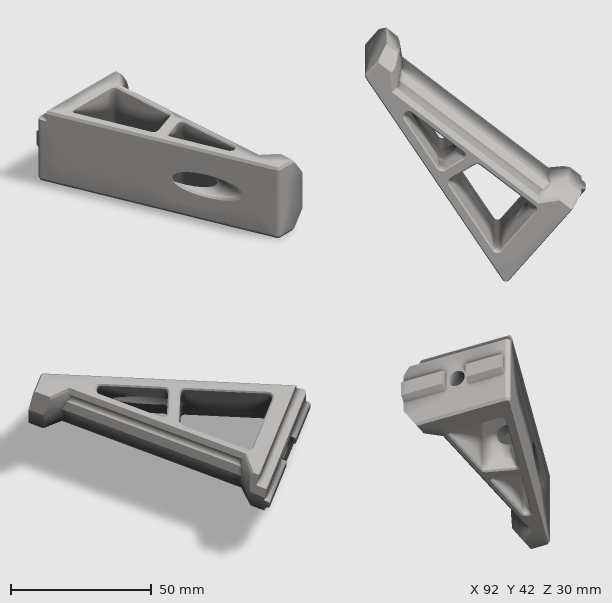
import cadquery as cq
import math

length = 92.0
depth = 41.95
height = 30.0
mid_height = height / 2
margin = 9.2

tab_projection = 2.0
body_left = tab_projection
slope_angle = 18.5
slope = math.tan(math.radians(slope_angle))
corner_radius = 1.5
rim_chamfer_inset = 0.55
rim_chamfer_height = 1.1

back_slope_depth = 5.0
back_slope_height = 7.45
back_slope_ratio = back_slope_height / back_slope_depth

step_right = 5.9
step_level = 25.85

window_left = 12.0
window_back = 29.35
front_wall = 3.8
rib_thickness = 4.4
rib_back_x = 41.9
window_radius = 1.6
window_chamfer = 0.55

tab_spans = [(1.9, 16.2), (25.3, depth)]
tab_bottom = 11.0
tab_top = 19.1
tab_top_chamfer = 0.6

hole_y = 20.7
screw_diameter = 6.3
access_diameter = 8.5
access_chamfer = 0.55

recess_mid_x = 46.9
recess_floor = 37.2
recess_rim_y = 31.3
recess_bend_y = 33.1
recess_bend_drop = 2.1
recess_straight_half = 33.3
end_half_rim = 43.4
end_flare_rim = 0.9
end_half_crest = 38.6
end_flare_crest = 1.1
end_chamfer_length = 1.1
end_chamfer_height = 0.8

groove_diameter = 4.3
groove_y = 35.05
groove_z = 27.3


corner_half_angle = math.radians(90 - slope_angle) / 2
sharp_corner_y = corner_radius - corner_radius / math.tan(corner_half_angle)


def front_y(x):
    """Y of the sloping front face."""
    return sharp_corner_y + slope * (x - body_left)


def prism(points, bottom, top):
    """Upright prism over an XY polygon."""
    return cq.Workplane("XY").workplane(offset=bottom).polyline(points).close().extrude(top - bottom)


def bar_along_x(points, start, end):
    """Bar along X with a YZ polygon as its section."""
    return cq.Workplane("YZ").workplane(offset=start).polyline(points).close().extrude(end - start)


def rod_along_x(diameter, y, z, start, end):
    """Round rod along X."""
    return cq.Workplane("YZ").workplane(offset=start).center(y, z).circle(diameter / 2).extrude(end - start)


def mirror_height(shape):
    return shape.mirror("XY", (0, 0, mid_height))


def mirror_recess(shape):
    return shape.mirror("YZ", (recess_mid_x, 0, 0))


def body_slab():
    """Rounded trapezoid with chamfered rims, left overlong at the back."""
    back = depth + margin
    points = [(body_left, sharp_corner_y), (length, front_y(length)), (length, back), (body_left, back)]
    core_top = height - rim_chamfer_height
    core = prism(points, rim_chamfer_height, core_top).edges("|Z and (<Y or (>X and (not >Y)))")
    core = core.fillet(corner_radius)
    taper = math.degrees(math.atan(rim_chamfer_inset / rim_chamfer_height))
    rim = core.faces(">Z").wires().toPending().workplane(origin=(0, 0, core_top))
    rim = rim.extrude(rim_chamfer_height, taper=taper, combine=False)
    return core.union(rim).union(mirror_height(rim))


def window(points):
    """Window cutter with rounded corners."""
    return prism(points, 0, height).edges("|Z").fillet(window_radius)


def windows():
    """Two windows on either side of a rib square to the sloping front."""
    wall_y = front_wall / math.cos(math.radians(slope_angle))
    rib_half_x = rib_thickness / 2 / math.cos(math.radians(slope_angle))

    def inner_y(x):
        return front_y(x) + wall_y

    def rib_side(back_x):
        """Both ends of a rib side that starts at the given X on the back edge."""
        run = (window_back - inner_y(back_x)) / (1 + slope**2)
        front_x = back_x + slope * run
        return [(back_x, window_back), (front_x, inner_y(front_x))]

    large = [(window_left, inner_y(window_left)), (window_left, window_back)]
    large += rib_side(rib_back_x - rib_half_x)
    tip_x = body_left + (window_back - wall_y - sharp_corner_y) / slope
    small = rib_side(rib_back_x + rib_half_x) + [(tip_x, window_back)]
    return window(large).union(window(small))


def chamfer_windows(body):
    """Chamfer the window rims on the top and bottom faces."""
    rims = []
    for side in (">Z", "<Z"):
        for wire in body.faces(side).val().innerWires():
            rims += wire.Edges()
    return body.newObject(rims).chamfer(window_chamfer)


def back_profile():
    """Envelope that trims the back to its sloping edges."""
    shoulder = depth - back_slope_depth
    points = [
        (-margin, 0),
        (shoulder, 0),
        (depth, back_slope_height),
        (depth, height - back_slope_height),
        (shoulder, height),
        (-margin, height),
    ]
    return bar_along_x(points, 0, length)


def tabs():
    """Two locating tabs with a 45 degree underside."""
    section = [
        (body_left, tab_bottom),
        (0, tab_bottom + tab_projection),
        (0, tab_top - tab_top_chamfer),
        (tab_top_chamfer, tab_top),
        (body_left, tab_top),
    ]
    result_tabs = cq.Workplane("XY")
    for front, back in tab_spans:
        tab = cq.Workplane("XZ", origin=(0, back, 0)).polyline(section).close().extrude(back - front)
        result_tabs = result_tabs.add(tab)
    return result_tabs


def floor_bar(half_length):
    """Space behind the recess floor, whose sloping edges run parallel to the back edges."""
    lower_z = recess_bend_drop
    upper_z = lower_z + (recess_floor - recess_bend_y) * back_slope_ratio
    points = [
        (depth, 0),
        (recess_rim_y, 0),
        (recess_bend_y, lower_z),
        (recess_floor, upper_z),
        (recess_floor, height - upper_z),
        (recess_bend_y, height - lower_z),
        (recess_rim_y, height),
        (depth, height),
    ]
    return bar_along_x(points, recess_mid_x - half_length, recess_mid_x + half_length)


def end_wall_section(y):
    """Bulging XZ section of the left end wall at the given Y."""
    rim_x = recess_mid_x - end_half_rim + (depth - y) * end_flare_rim
    crest_x = recess_mid_x - end_half_crest + (depth - y) * end_flare_crest
    arc_x = rim_x + end_chamfer_length
    section = cq.Workplane("XZ", origin=(0, y, 0)).moveTo(-margin, 0).lineTo(rim_x, 0)
    section = section.lineTo(arc_x, end_chamfer_height)
    section = section.threePointArc((crest_x, mid_height), (arc_x, height - end_chamfer_height))
    section = section.lineTo(rim_x, height).lineTo(-margin, height).close()
    return section.val()


def end_wall():
    """Left end wall: it bulges at mid height and flares towards the back."""
    sections = [end_wall_section(recess_rim_y), end_wall_section(depth)]
    return cq.Workplane(cq.Solid.makeLoft(sections, True))


def grooves():
    """Rods that hollow the upper and lower floor slopes."""
    rod = rod_along_x(groove_diameter, groove_y, groove_z, 0, length)
    return rod.union(mirror_height(rod))


def recess():
    """Complete back recess; a shorter straight bar squares off the feet of the end walls."""
    wall = end_wall()
    space = floor_bar(length / 2).union(grooves()).cut(wall).cut(mirror_recess(wall))
    return space.union(floor_bar(recess_straight_half))


def drill(body):
    """Screw hole in the left wall, wider access hole through rib and front wall."""
    access_start = (window_left + rib_back_x) / 2
    body = body.cut(rod_along_x(screw_diameter, hole_y, mid_height, 0, access_start))
    body = body.cut(rod_along_x(access_diameter, hole_y, mid_height, access_start, length))
    front_face = body.faces(cq.NearestToPointSelector((length / 2, front_y(length / 2), mid_height))).val()
    mouth = front_face.innerWires()[0].Edges()
    return body.newObject(mouth).chamfer(access_chamfer)


def upper_left_step():
    """Block that is removed above the left wall."""
    points = [(0, -margin), (step_right, -margin), (step_right, depth + margin), (0, depth + margin)]
    return prism(points, step_level, height)


body = chamfer_windows(body_slab().cut(windows()))
body = body.intersect(back_profile())
body = body.cut(upper_left_step())
body = drill(body)
result = body.cut(recess()).union(tabs())